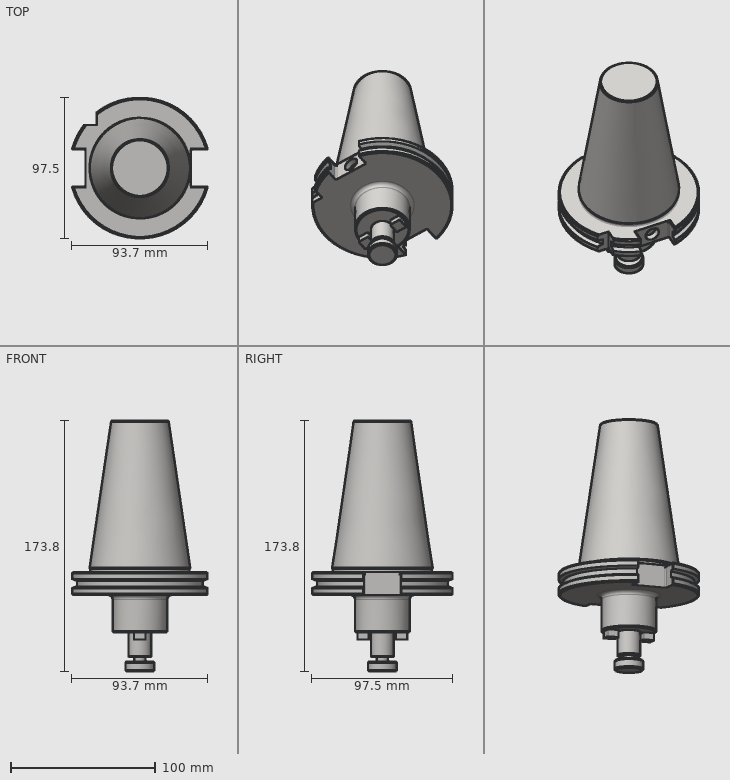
import cadquery as cq


gauge_radius = 69.85 / 2
taper_length = 101.75
taper_ratio = 7 / 24
taper_end_radius = gauge_radius - taper_length * taper_ratio / 2
taper_end_chamfer = 0.8

neck_radius = 34.5
neck_step_height = 1.0
neck_base_fillet = 0.5

flange_radius = 97.5 / 2
flange_top_z = -3.2
flange_bottom_z = -19.1
flange_chamfer = 1.0
groove_radius = 91.0 / 2
groove_center_z = -11.1
groove_floor_width = 3.8
groove_wall_height = 1.4
groove_mouth_width = groove_floor_width + 2 * groove_wall_height

slot_width = 25.7
slot_corner_radius = 0.85
slot_edge_chamfer = 0.7
slot_floor_left = 37.7
slot_floor_right = 35.3
notch_corner = 30.0
cutter_clearance = 1.0
cutter_reach = flange_radius + cutter_clearance
blind_hole_diameter = 10.0
blind_hole_depth = 5.0

seat_radius = 38.0 / 2
seat_fillet = 3.0
seat_face_z = -45.0
seat_chamfer = 1.0
pilot_radius = 16.0 / 2
pilot_end_z = seat_face_z - 17.0
pilot_chamfer = 0.7
key_width = 8.0
key_height = 5.0
key_inner_y = 9.4
key_outer_y = 17.4
key_edge_fillet = 0.4

screw_end_z = seat_face_z - 27.0
screw_head_radius = 20.0 / 2
screw_head_height = 7.0
screw_head_chamfer = 1.0
screw_shank_radius = 8.0 / 2
screw_shank_fillet = 0.4


def make_turned_body():
    """Taper, neck, flange, seat, pilot and screw as one revolved outline of (radius, Z) points."""
    groove_mouth_top = groove_center_z + groove_mouth_width / 2
    groove_mouth_bottom = groove_center_z - groove_mouth_width / 2
    groove_floor_top = groove_center_z + groove_floor_width / 2
    groove_floor_bottom = groove_center_z - groove_floor_width / 2
    screw_head_top = screw_end_z + screw_head_height
    outline = (
        cq.Workplane("XZ")
        .moveTo(0, taper_length)
        .lineTo(taper_end_radius - taper_end_chamfer, taper_length)
        .lineTo(taper_end_radius, taper_length - taper_end_chamfer)
        .lineTo(gauge_radius, 0)
        .lineTo(neck_radius, -neck_step_height)
        .lineTo(neck_radius, flange_top_z + neck_base_fillet)
        .radiusArc((neck_radius + neck_base_fillet, flange_top_z), -neck_base_fillet)
        .lineTo(flange_radius - flange_chamfer, flange_top_z)
        .lineTo(flange_radius, flange_top_z - flange_chamfer)
        .lineTo(flange_radius, groove_mouth_top)
        .lineTo(groove_radius, groove_floor_top)
        .lineTo(groove_radius, groove_floor_bottom)
        .lineTo(flange_radius, groove_mouth_bottom)
        .lineTo(flange_radius, flange_bottom_z + flange_chamfer)
        .lineTo(flange_radius - flange_chamfer, flange_bottom_z)
        .lineTo(seat_radius + seat_fillet, flange_bottom_z)
        .radiusArc((seat_radius, flange_bottom_z - seat_fillet), -seat_fillet)
        .lineTo(seat_radius, seat_face_z + seat_chamfer)
        .lineTo(seat_radius - seat_chamfer, seat_face_z)
        .lineTo(pilot_radius, seat_face_z)
        .lineTo(pilot_radius, pilot_end_z + pilot_chamfer)
        .lineTo(pilot_radius - pilot_chamfer, pilot_end_z)
        .lineTo(screw_shank_radius, pilot_end_z)
        .lineTo(screw_shank_radius, screw_head_top + screw_shank_fillet)
        .radiusArc((screw_shank_radius + screw_shank_fillet, screw_head_top), -screw_shank_fillet)
        .lineTo(screw_head_radius - screw_head_chamfer, screw_head_top)
        .lineTo(screw_head_radius, screw_head_top - screw_head_chamfer)
        .lineTo(screw_head_radius, screw_end_z + screw_head_chamfer)
        .lineTo(screw_head_radius - screw_head_chamfer, screw_end_z)
        .lineTo(0, screw_end_z)
        .close()
    )
    return outline.revolve(360, (0, 0, 0), (0, 1, 0))


def make_flange_cutter(outline):
    """Extrude a closed XY outline through the full flange thickness."""
    return outline.extrude(flange_bottom_z - flange_top_z)


def make_slot_edge_bevel(side, floor_x):
    """Trapezoid prism that bevels both slot walls, and the corner rounds, at the flange top."""
    half = slot_width / 2
    inner_half = half - slot_corner_radius
    inner_z = flange_top_z - slot_edge_chamfer - slot_corner_radius
    return (
        cq.Workplane("YZ", origin=(side * floor_x, 0, 0))
        .moveTo(-half - slot_edge_chamfer, flange_top_z)
        .lineTo(half + slot_edge_chamfer, flange_top_z)
        .lineTo(inner_half, inner_z)
        .lineTo(-inner_half, inner_z)
        .close()
        .extrude(side * (cutter_reach - floor_x))
    )


def make_drive_slot(side, floor_x):
    """Cutter for one drive slot on the given X side (-1 or +1), its mouth flared at the flange rim."""
    half = slot_width / 2
    mouth_x = (flange_radius**2 - half**2) ** 0.5 - slot_edge_chamfer
    flare = cutter_reach - mouth_x
    slot = make_flange_cutter(
        cq.Workplane("XY", origin=(0, 0, flange_top_z))
        .moveTo(side * floor_x, -half)
        .lineTo(side * mouth_x, -half)
        .lineTo(side * cutter_reach, -half - flare)
        .lineTo(side * cutter_reach, half + flare)
        .lineTo(side * mouth_x, half)
        .lineTo(side * floor_x, half)
        .close()
    )
    floor_face = "<X" if side > 0 else ">X"
    slot = slot.faces(floor_face).edges("|Z").fillet(slot_corner_radius)
    return slot.union(make_slot_edge_bevel(side, floor_x))


def make_notch():
    """Cutter for the square orientation notch in the -X +Y quadrant."""
    size = cutter_reach - notch_corner
    return make_flange_cutter(
        cq.Workplane("XY", origin=(-notch_corner, notch_corner, flange_top_z))
        .rect(-size, size, centered=False)
    )


def make_blind_hole():
    """Cutter for the round blind hole in the floor of the -X drive slot."""
    return (
        cq.Workplane("YZ", origin=(-slot_floor_left, 0, groove_center_z))
        .circle(blind_hole_diameter / 2)
        .extrude(blind_hole_depth)
    )


def make_key(side):
    """Drive key standing below the seat face on the given Y side (-1 or +1)."""
    key_length = key_outer_y - key_inner_y
    key_center_y = side * (key_inner_y + key_outer_y) / 2
    return (
        cq.Workplane("XY", origin=(0, key_center_y, seat_face_z))
        .rect(key_width, key_length)
        .extrude(-key_height)
        .edges("|Z")
        .fillet(key_edge_fillet)
    )


result = make_turned_body()
result = result.cut(make_drive_slot(-1, slot_floor_left))
result = result.cut(make_drive_slot(1, slot_floor_right))
result = result.cut(make_notch())
result = result.cut(make_blind_hole())
for key_side in (-1, 1):
    result = result.union(make_key(key_side))